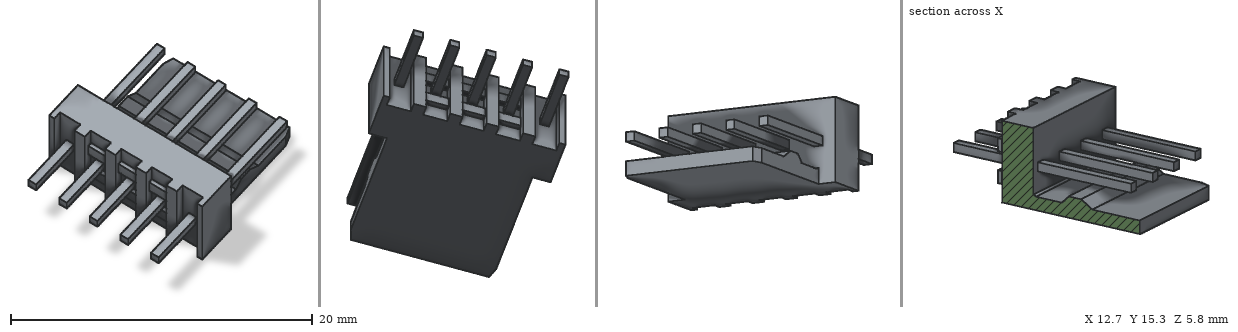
import cadquery as cq


pin_count = 5
housing_width = 12.7
pitch = housing_width / pin_count
pin_side = 0.64
total_length = 15.26
tongue_length = 8.52
pin_tongue_end = 7.48
pin_free_end = tongue_length - total_length

housing_height = 5.8
housing_depth = 3.19
slot_width = 1.68
slot_depth = 0.64

crossbar_length = 6.68
crossbar_height = 0.92
crossbar_thickness = 0.32
crossbar_offset = 1.13

tongue_width = (pin_count - 1) * pitch
tongue_thickness = 0.99
tip_taper_width = 0.26
tip_taper_length = 0.76

ridge_height = 0.55
ridge_start = 2.26
ridge_crest_start = 2.82
ridge_crest_end = 3.82
ridge_end = 4.72
wedge_length = 0.21
wedge_height = 0.1

mid_height = housing_height / 2
slot_floor = slot_depth - housing_depth
pin_positions = [(i - (pin_count - 1) / 2) * pitch for i in range(pin_count)]


def block(width, y_start, y_end, height, x_mid, z_mid):
    """Box centred on x_mid and z_mid that spans y_start to y_end."""
    return cq.Workplane("XY").box(width, y_end - y_start, height).translate(
        (x_mid, (y_start + y_end) / 2, z_mid)
    )


def make_housing():
    """Block with a full-height slot around each pin, and two crossbars in the inner slots."""
    housing = block(housing_width, -housing_depth, 0, housing_height, 0, mid_height)
    for x in pin_positions:
        housing = housing.cut(
            block(slot_width, -housing_depth, slot_floor, housing_height, x, mid_height)
        )
    for side in (-1, 1):
        z = mid_height + side * crossbar_offset
        housing = housing.union(
            block(crossbar_length, slot_floor - crossbar_thickness, slot_floor, crossbar_height, 0, z)
        )
    return housing


def make_tongue():
    """Side profile with ridge and wedge, extruded across the width and tapered at the tip."""
    crest = tongue_thickness + ridge_height
    profile = [
        (0, 0),
        (tongue_length, 0),
        (tongue_length, tongue_thickness),
        (ridge_end, tongue_thickness),
        (ridge_crest_end, crest),
        (ridge_crest_start, crest),
        (ridge_start, tongue_thickness),
        (wedge_length, tongue_thickness),
        (0, tongue_thickness + wedge_height),
    ]
    tongue = cq.Workplane("YZ").polyline(profile).close().extrude(tongue_width / 2, both=True)

    half_width = tongue_width / 2
    taper_start = tongue_length - tip_taper_length
    for side in (-1, 1):
        corner = [
            (side * half_width, taper_start),
            (side * half_width, tongue_length),
            (side * (half_width - tip_taper_width), tongue_length),
        ]
        tongue = tongue.cut(cq.Workplane("XY").polyline(corner).close().extrude(tongue_thickness))
    return tongue


result = make_housing().union(make_tongue())
for pin_x in pin_positions:
    result = result.union(
        block(pin_side, pin_free_end, pin_tongue_end, pin_side, pin_x, mid_height)
    )